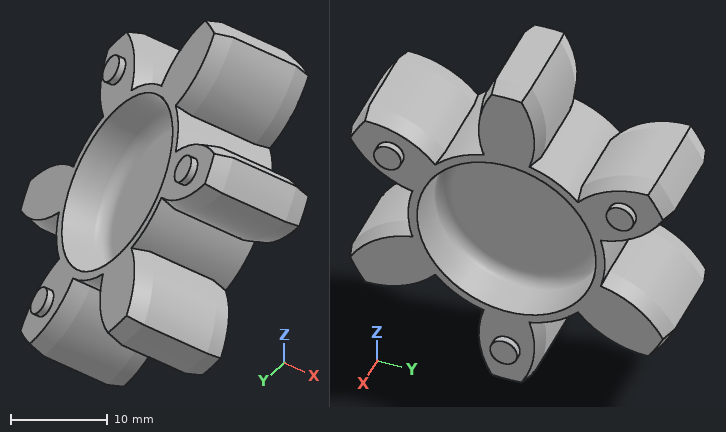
import cadquery as cq
import math

outer_radius = 19.85
hub_radius = 11.0
body_width = 12.0
overall_width = 13.6
arm_count = 6

arm_half_width = 3.65
widest_radius = 14.0
flank_radius = 10.7
arm_root_radius = 7.95
bevel_length = 2.0
bevel_angle = 15.0

bowl_mouth_radius = 10.0
bowl_wall_radius = 9.6
bowl_floor_radius = 8.15
bowl_depth = 5.0

pin_radius = 1.5
pin_height = (overall_width - body_width) / 2
pin_circle_radius = 15.0

half_width = body_width / 2
arm_pitch = 360 / arm_count


def flank_half_width(distance):
    """Half width of an arm at a distance along its centre line."""
    offset = distance - widest_radius
    return arm_half_width - flank_radius + math.sqrt(flank_radius**2 - offset**2)


def tip_corner():
    """Point (half width, distance) where a flank meets the outer cylinder."""
    flank_center = arm_half_width - flank_radius
    center_distance = math.hypot(flank_center, widest_radius)
    along = (outer_radius**2 - flank_radius**2 + center_distance**2) / (2 * center_distance)
    across = math.sqrt(outer_radius**2 - along**2)
    unit_y = flank_center / center_distance
    unit_z = widest_radius / center_distance
    return along * unit_y + across * unit_z, along * unit_z - across * unit_y


def arm_profile(x):
    """Outline of the arm along +Z, drawn on the plane at the given x."""
    tip_y, tip_z = tip_corner()
    root_y = flank_half_width(arm_root_radius)
    return (
        cq.Workplane("YZ", origin=(x, 0, 0))
        .moveTo(-root_y, arm_root_radius)
        .lineTo(root_y, arm_root_radius)
        .threePointArc((arm_half_width, widest_radius), (tip_y, tip_z))
        .threePointArc((0, outer_radius), (-tip_y, tip_z))
        .threePointArc((-arm_half_width, widest_radius), (-root_y, arm_root_radius))
        .close()
    )


def make_arm():
    """Straight middle with a tapered bevel toward each face."""
    straight_half = half_width - bevel_length
    middle = arm_profile(-straight_half).extrude(2 * straight_half)
    bevel = arm_profile(straight_half).extrude(bevel_length, taper=bevel_angle)
    return middle.union(bevel).union(bevel.mirror("YZ"))


def make_bowl():
    """Recess in the -X face: drafted wall rounded into a flat floor."""
    corner_radius = bowl_wall_radius - bowl_floor_radius
    floor_x = bowl_depth - half_width
    round_start_x = floor_x - corner_radius
    arc_reach = corner_radius * math.sqrt(0.5)
    arc_middle = (round_start_x + arc_reach, bowl_floor_radius + arc_reach)
    return (
        cq.Workplane("XY")
        .moveTo(-half_width, 0)
        .lineTo(-half_width, bowl_mouth_radius)
        .lineTo(round_start_x, bowl_wall_radius)
        .threePointArc(arc_middle, (floor_x, bowl_floor_radius))
        .lineTo(floor_x, 0)
        .close()
        .revolve(360, (0, 0, 0), (1, 0, 0))
    )


def make_pin(side):
    """Pin on the +Z arm, standing on the face at side = -1 or +1 along X."""
    pin = (
        cq.Workplane("YZ", origin=(half_width, 0, 0))
        .center(0, pin_circle_radius)
        .circle(pin_radius)
        .extrude(pin_height)
    )
    return pin if side > 0 else pin.mirror("YZ")


def turn(shape, index):
    """Rotate a shape about the axis to the arm with the given index."""
    return shape.rotate((0, 0, 0), (1, 0, 0), index * arm_pitch)


result = cq.Workplane("YZ", origin=(-half_width, 0, 0)).circle(hub_radius).extrude(body_width)

arm = make_arm()
for index in range(arm_count):
    pin_side = -1 if index % 2 == 0 else 1
    result = result.union(turn(arm, index))
    result = result.union(turn(make_pin(pin_side), index))

bowl = make_bowl()
result = result.cut(bowl).cut(bowl.mirror("YZ"))